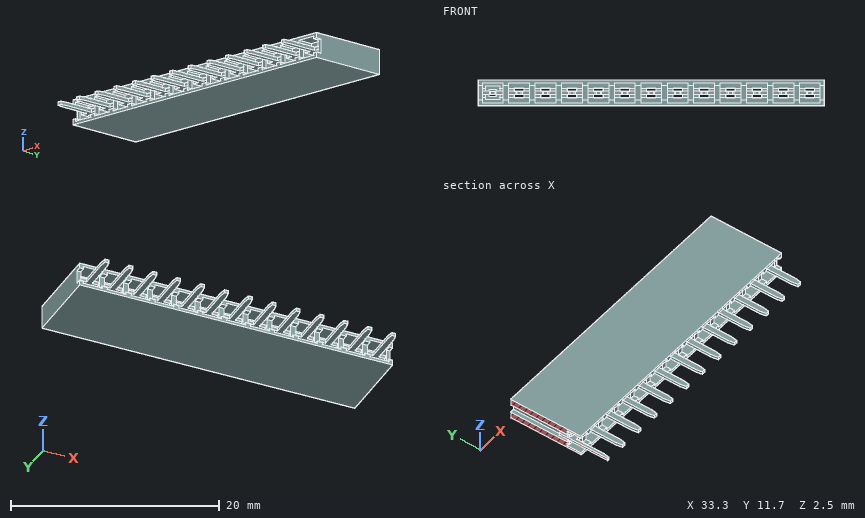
import cadquery as cq


housing_length = 33.27
housing_depth = 8.52
housing_height = 2.5
notch_depth = 0.6
notch_height = 1.4

cell_count = 13
end_wall = 0.4
cell_width = 2.0
cell_height = 1.9
cell_depth = 1.65
slot_height = 0.9
slot_depth = 1.0
socket_size = 0.9

contact_thickness = 0.33
contact_setback = 0.8
pin_width = 0.63
pin_length = 3.2
tip_length = 0.7
tip_width = 0.4

sleeve_width = 1.4
sleeve_height = 1.3
sleeve_bore = 0.65
sleeve_length = 0.25

cell_pitch = (housing_length - 2 * end_wall - cell_width) / (cell_count - 1)
first_cell_x = (cell_width - housing_length) / 2 + end_wall
cell_positions = [first_cell_x + i * cell_pitch for i in range(cell_count)]
slot_floor = cell_depth + slot_depth


def block(width, height, y_start, y_end, x=0):
    """Box centred on x and Z = 0, running from y_start to y_end."""
    box = cq.Workplane("XY").box(width, y_end - y_start, height, centered=(True, False, True))
    return box.translate((x, y_start, 0))


def cell_cutter(x):
    """Stepped opening: wide cell, flat slot for the contact, square socket through the back."""
    cell = block(cell_width, cell_height, 0, cell_depth, x)
    slot = block(cell_width, slot_height, cell_depth, slot_floor, x)
    socket = block(socket_size, socket_size, slot_floor, housing_depth, x)
    return cell.union(slot).union(socket)


def contact(x):
    """Flat plate across the cell with a pin that narrows to its tip."""
    plate = block(cell_width, contact_thickness, contact_setback, slot_floor, x)
    tip_start = tip_length - pin_length
    half_pin = pin_width / 2
    half_tip = tip_width / 2
    outline = [
        (x - half_pin, contact_setback),
        (x - half_pin, tip_start),
        (x - half_tip, -pin_length),
        (x + half_tip, -pin_length),
        (x + half_pin, tip_start),
        (x + half_pin, contact_setback),
    ]
    pin = cq.Workplane("XY").polyline(outline).close().extrude(contact_thickness / 2, both=True)
    return plate.union(pin)


housing = block(housing_length, housing_height, 0, housing_depth)
housing = housing.cut(block(housing_length, notch_height, 0, notch_depth))
for cell_x in cell_positions:
    housing = housing.cut(cell_cutter(cell_x))

sleeve_start = cell_depth - sleeve_length
sleeve = block(sleeve_width, sleeve_height, sleeve_start, cell_depth, first_cell_x)
sleeve = sleeve.cut(block(sleeve_bore, sleeve_bore, sleeve_start, cell_depth, first_cell_x))

result = housing.union(sleeve)
for cell_x in cell_positions:
    result = result.union(contact(cell_x))